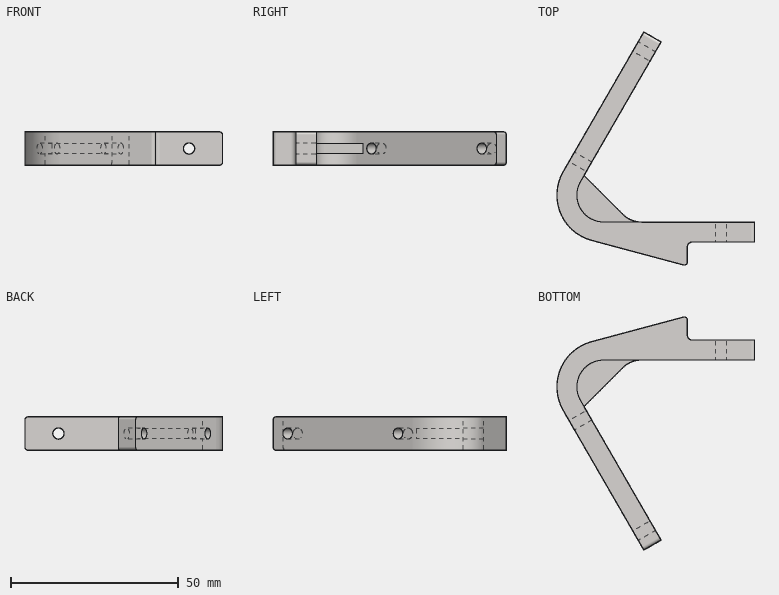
import cadquery as cq
import math

height = 10.0
arm_thickness = 6.0
inner_radius = 8.0
outer_radius = inner_radius + arm_thickness
base_end_x = 45.0
upper_arm_angle = 60
upper_arm_length = 48.15
end_round = 1.0

wedge_angle = 15
wedge_end_x = 25.0
wedge_tip_round = 1.0
wedge_root_round = 1.45

web_thickness = 3.0
web_edge_slope = 45
web_blend_radius = 8.0

hole_diameter = 3.3
base_hole_x = 35.0
upper_hole_end_margin = 5.0
upper_hole_spacing = 38.0
upper_hole_count = 2


def polar(radius, degrees):
    angle = math.radians(degrees)
    return (radius * math.cos(angle), radius * math.sin(angle))


def along_upper_arm(start, distance):
    dx, dy = polar(distance, upper_arm_angle)
    return (start[0] + dx, start[1] + dy)


upper_normal_angle = upper_arm_angle + 90
outer_upper = polar(outer_radius, upper_normal_angle)
inner_upper = polar(inner_radius, upper_normal_angle)
wedge_normal_angle = 270 - wedge_angle
outer_wedge = polar(outer_radius, wedge_normal_angle)
outer_middle = polar(outer_radius, (upper_normal_angle + wedge_normal_angle) / 2)
inner_middle = polar(inner_radius, (upper_normal_angle + 270) / 2)
wedge_slope = math.radians(wedge_angle)
wedge_tip_y = -outer_radius / math.cos(wedge_slope) - wedge_end_x * math.tan(wedge_slope)


def make_bracket():
    bracket = (
        cq.Workplane("XY")
        .moveTo(*along_upper_arm(outer_upper, upper_arm_length))
        .lineTo(*outer_upper)
        .threePointArc(outer_middle, outer_wedge)
        .lineTo(wedge_end_x, wedge_tip_y)
        .lineTo(wedge_end_x, -outer_radius)
        .lineTo(base_end_x, -outer_radius)
        .lineTo(base_end_x, -inner_radius)
        .lineTo(0, -inner_radius)
        .threePointArc(inner_middle, inner_upper)
        .lineTo(*along_upper_arm(inner_upper, upper_arm_length))
        .close()
        .extrude(height / 2, both=True)
    )
    tip_point = (wedge_end_x, wedge_tip_y, 0)
    root_point = (wedge_end_x, -outer_radius, 0)
    bracket = bracket.edges(cq.selectors.NearestToPointSelector(tip_point)).fillet(wedge_tip_round)
    bracket = bracket.edges(cq.selectors.NearestToPointSelector(root_point)).fillet(wedge_root_round)

    bracket = bracket.faces(">X").edges("|Y").fillet(end_round)
    upper_direction = cq.Vector(*polar(1, upper_arm_angle), 0)
    upper_end = bracket.faces(cq.selectors.DirectionMinMaxSelector(upper_direction))
    return upper_end.edges("#Z").fillet(end_round)


def make_web():
    setback = web_blend_radius * math.tan(math.radians(web_edge_slope / 2))
    start_dx, start_dy = polar(setback, 180 - web_edge_slope)
    blend_start = (inner_radius + start_dx, -inner_radius + start_dy)
    blend_end = (inner_radius + setback, -inner_radius)
    blend_dx, blend_dy = polar(web_blend_radius, 270 - web_edge_slope / 2)
    blend_middle = (blend_end[0] + blend_dx, -inner_radius + web_blend_radius + blend_dy)
    crossing = inner_radius * math.tan(math.radians(upper_normal_angle + web_edge_slope - 180))
    web_top = along_upper_arm(inner_upper, crossing)
    return (
        cq.Workplane("XY")
        .moveTo(*web_top)
        .lineTo(*blend_start)
        .threePointArc(blend_middle, blend_end)
        .lineTo(0, -inner_radius)
        .threePointArc(inner_middle, inner_upper)
        .close()
        .extrude(web_thickness / 2, both=True)
    )


def make_hole(surface_point, direction_angle):
    """Cylinder through one arm, starting on its outer face."""
    start = cq.Vector(*surface_point, 0)
    direction = cq.Vector(*polar(1, direction_angle), 0)
    return cq.Solid.makeCylinder(hole_diameter / 2, arm_thickness, start, direction)


result = make_bracket().union(make_web())
result = result.cut(make_hole((base_hole_x, -outer_radius), 90))
for hole_index in range(upper_hole_count):
    distance = upper_arm_length - upper_hole_end_margin - hole_index * upper_hole_spacing
    surface_point = along_upper_arm(outer_upper, distance)
    result = result.cut(make_hole(surface_point, upper_normal_angle + 180))